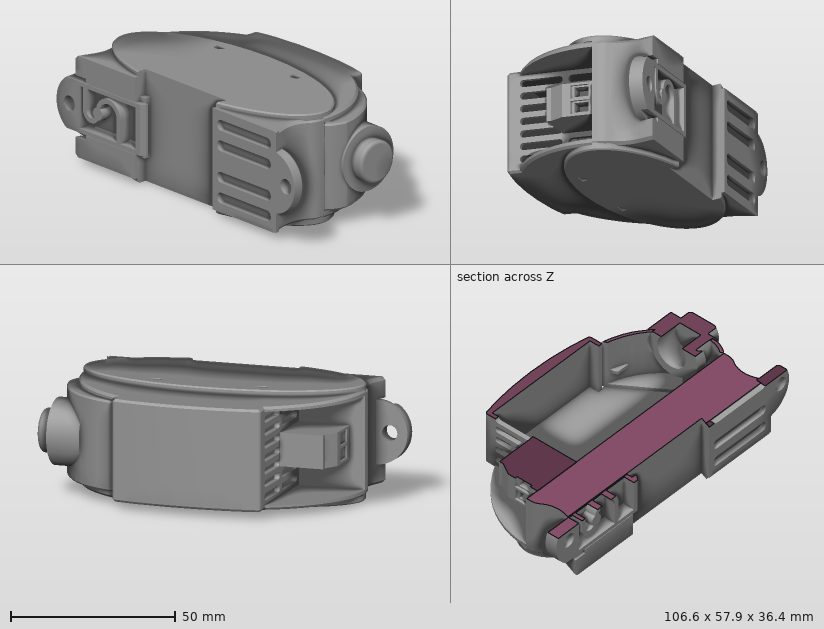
import cadquery as cq
mid_x = 0.2
split_y = 19.6
lip_half_z = 18.2
base_half_z = 16.5
inner_half_z = 14.6
half_length = 45.3
far = 213.5

lip_a = 45.0
lip_b = 20.0
lip_chamfer = 0.4
edge_chamfer = 1.0
foot_half = 44.9
flank_bottom = 5.5
flank_bottom_half = 43.0
flank_top = 14.7
flank_top_half = 44.3
shoulder_top = 17.8
rail_left = -18.3
rail_right = 18.3
rail_right_foot = 16.7
rail_depth = 4.5
snap_offset = 17.0
snap_y = 34.3
snap_radius = 2.1
snap_floor_radius = 0.6
snap_depth = 1.5

plate_thickness = 1.9
plate_rim = 0.2
ear_x = 43.2
ear_radius = 10.1
ear_thickness = 3.8
ear_round = 0.9
hole_radius = 2.5
foot_hole_x = 49.5
vent_rows = (5.1, 11.8)
foot_vent = (18.7, 42.8)
foot_vent_width = 3.5

clip_height = 4.4
clip_step = 2.2
clip_clearance = 0.2
flange_half_z = 9.8
flange_end = -16.1
frame_half_z = 8.3
nose_end = -14.7
nose_run = 1.3
nose_rise = 1.5
mouth_end = -40.0
tab_x = -43.3
tab_radius = 10.0
clip_hole_x = -47.6
pocket_left = -43.0
pocket_right = -17.8
pocket_half_z = 6.9
pocket_depth = 4.0
pocket_chamfer = 0.5
spring_width = 1.6
leg_x = -40.8
eye_x = -34.9
eye_radius = 2.0
arch_leg_x = -25.6
arch_z = 0.6

dome_height = 37.3
draft = 0.015
crown_half = 23.9
crown_edge_y = 55.4
crown_top_y = 57.9
crown_round = 1.1
cover_wall = 1.6
cover_chamfer = 0.7
end_wall_y = 50.2
window_top = 37.3
window_half_z = 5.2
vent_pitch = 4.0
vent_width = 2.2
upper_vent = (37.4, 51.2)
lower_vent = (21.6, 35.4)

terminal_face = -40.2
terminal_top_face = -37.7
terminal_slope_low = 31.3
terminal_slope_high = 35.8
socket_y = (22.5, 28.5)
socket_width = 4.1
socket_z = 2.5
socket_depth = 0.9
contact_y = (23.0, 27.4)
contact_width = 3.0
contact_depth = 5.3

bulge_half_z = 14.1
bulge_wall = 1.3
bulge_top = (24.5, 50.8)
bulge_upper_mid = (40.7, 41.8)
bulge_nose = (48.4, 26.5)
bulge_lower_mid = (47.5, 22.7)
bulge_foot = (45.6, split_y)
bulge_chamfer = 0.5
rib_x = (26.7, 32.0)
rib_y = (46.5, 49.7)
rib_z = 8.0
rib_thickness = 1.2
gland_y = 34.7
gland_radius = 10.5
gland_spigot_radius = 8.8
gland_bore = 5.8
gland_inner_x = 38.4
gland_floor = 47.0
gland_end = 49.0
nozzle_end = 53.3
nozzle_radius = 6.8
nozzle_round = 1.1


def box(x, y, z):
    """Box between the (low, high) pairs given for the three axes."""
    size = [high - low for low, high in (x, y, z)]
    return cq.Workplane("XY").box(*size, centered=False).translate((x[0], y[0], z[0]))


def both(half):
    return (-half, half)


def prism(outline, half_z):
    """Extrude a closed XY outline symmetrically about z = 0."""
    return outline.extrude(half_z, both=True)


def slot_y(x, z, width):
    """Round-ended slot along X at height z, running through the foot plate."""
    slot = cq.Workplane("XZ").slot2D(x[1] - x[0], width).extrude(-plate_thickness)
    return slot.translate(((x[0] + x[1]) / 2, 0, z))


def slot_x(x, y, z, width):
    """Round-ended slot along Y, running through the given X range."""
    slot = cq.Workplane("YZ").slot2D(y[1] - y[0], width).extrude(x[1] - x[0])
    return slot.translate((x[0], (y[0] + y[1]) / 2, z))


def cylinder_y(x, radius, height):
    return cq.Workplane("XZ").center(x, 0).circle(radius).extrude(-height)


def cylinder_x(x, radius):
    return cq.Workplane("YZ").center(gland_y, 0).circle(radius).extrude(x[1] - x[0]).translate((x[0], 0, 0))


def base_outline():
    """Side outline with waisted flanks, built as one half and mirrored."""
    right_half = (
        cq.Workplane("XY", origin=(mid_x, 0, 0))
        .moveTo(0, split_y)
        .lineTo(half_length, split_y)
        .lineTo(half_length, shoulder_top)
        .tangentArcPoint((flank_top_half, flank_top), relative=False)
        .tangentArcPoint((flank_bottom_half, flank_bottom), relative=False)
        .lineTo(foot_half, 0)
        .lineTo(0, 0)
    )
    return right_half.mirrorY()


def draft_envelope():
    """Tapered space of the cover between the two lips."""
    top = split_y + far
    top_half = base_half_z - draft * far
    outline = [(split_y, -base_half_z), (top, -top_half), (top, top_half), (split_y, base_half_z)]
    return cq.Workplane("YZ").polyline(outline).close().extrude(far, both=True)


def base_shape():
    body = prism(base_outline(), base_half_z)
    body = body.faces("<Z or >Z").edges("(not <Y) and (not >Y)").chamfer(edge_chamfer)
    lips = prism(cq.Workplane("XY").center(mid_x, split_y).ellipse(lip_a, lip_b), lip_half_z)
    lips = lips.faces("<Z or >Z").chamfer(lip_chamfer)
    return body.union(lips).cut(draft_envelope())


def rail_notch():
    outline = [(rail_left, 0), (rail_left, rail_depth), (rail_right, rail_depth), (rail_right_foot, 0)]
    foot = box((rail_left, rail_right_foot), (-far, 0), both(far))
    return prism(cq.Workplane("XY").polyline(outline).close(), far).union(foot)


def clip_channel():
    flange = box((-far, rail_left), (clip_step, rail_depth), both(flange_half_z + clip_clearance))
    frame = box((-far, rail_left), (0, clip_step), both(frame_half_z + clip_clearance))
    mouth = box((-far, mouth_end), (0, clip_step), both(flange_half_z + clip_clearance))
    return flange.union(frame).union(mouth)


def snap_notch(x):
    """Half cone sunk into the upper lip, flat on its +Y side."""
    cone = cq.Solid.makeCone(
        snap_radius, snap_floor_radius, snap_depth, cq.Vector(x, snap_y, lip_half_z), cq.Vector(0, 0, -1)
    )
    return cq.Workplane(cone).intersect(box((-far, far), (-far, snap_y), both(far)))


def upper_base():
    base = base_shape().cut(rail_notch()).cut(clip_channel()).cut(foot_plate_blank())
    for side in (-1, 1):
        base = base.cut(snap_notch(mid_x + side * snap_offset))
    return base.intersect(box((-far, far), (-far, far), (0, far)))


def foot_plate_blank():
    """Plate behind the rail jaw, with the mounting ear on its +X end."""
    plate = prism(base_outline(), base_half_z - plate_rim)
    plate = plate.intersect(box((0, far), (0, plate_thickness), both(far)))
    plate = plate.cut(rail_notch().translate((plate_rim, 0, 0)))
    ear = cylinder_y(ear_x, ear_radius, ear_thickness).faces(">Y").edges().fillet(ear_round)
    return plate.union(ear.intersect(box((foot_vent[1], far), (0, far), both(far))))


def foot_plate():
    plate = foot_plate_blank().cut(cylinder_y(foot_hole_x, hole_radius, ear_thickness))
    for row in vent_rows:
        for z in (-row, row):
            plate = plate.cut(slot_y(foot_vent, z, foot_vent_width))
    return plate


def clip_spring():
    """S-shaped leaf across the pocket with an eye in the middle."""
    half = spring_width / 2
    end_z = pocket_half_z + half
    u_mid = (leg_x + eye_x) / 2
    u_radius = (eye_x - leg_x) / 2
    arch_mid = (eye_x + arch_leg_x) / 2
    arch_radius = (arch_leg_x - eye_x) / 2
    leaf = (
        cq.Workplane("XZ")
        .moveTo(leg_x - half, end_z)
        .lineTo(leg_x - half, 0)
        .threePointArc((u_mid, -u_radius - half), (eye_x + half, 0))
        .lineTo(eye_x + half, arch_z)
        .threePointArc((arch_mid, arch_z + arch_radius - half), (arch_leg_x - half, arch_z))
        .lineTo(arch_leg_x - half, -end_z)
        .lineTo(arch_leg_x + half, -end_z)
        .lineTo(arch_leg_x + half, arch_z)
        .threePointArc((arch_mid, arch_z + arch_radius + half), (eye_x - half, arch_z))
        .lineTo(eye_x - half, 0)
        .threePointArc((u_mid, half - u_radius), (leg_x + half, 0))
        .lineTo(leg_x + half, end_z)
        .close()
        .extrude(-clip_height)
    )
    return leaf.union(cylinder_y(eye_x, eye_radius, clip_height))


def clip():
    flange = box((tab_x, flange_end), (0, clip_height), both(flange_half_z))
    blank = flange.union(cylinder_y(tab_x, tab_radius, clip_height))
    for side in (-1, 1):
        outer = sorted((side * frame_half_z, side * far))
        blank = blank.cut(box((-far, far), (0, clip_step), outer))
    nose_outline = [
        (tab_x, 0),
        (nose_end - nose_run, 0),
        (nose_end, nose_rise),
        (nose_end, clip_step),
        (tab_x, clip_step),
    ]
    blank = blank.union(prism(cq.Workplane("XY").polyline(nose_outline).close(), frame_half_z))
    pocket = box((mouth_end, pocket_right), (0, pocket_depth), both(pocket_half_z))
    pocket_end = box((pocket_left, mouth_end), (0, pocket_depth), both(pocket_half_z))
    blank = blank.cut(pocket.edges("|X and >Y").chamfer(pocket_chamfer)).cut(pocket_end)
    return blank.union(clip_spring()).cut(cylinder_y(clip_hole_x, hole_radius, clip_height))


def cover_blank():
    flanks = prism(cq.Workplane("XY").center(mid_x, split_y).ellipse(half_length, dome_height), base_half_z)
    crown = prism(
        cq.Workplane("XY")
        .moveTo(mid_x - crown_half, split_y)
        .lineTo(mid_x - crown_half, crown_edge_y)
        .threePointArc((mid_x, crown_top_y), (mid_x + crown_half, crown_edge_y))
        .lineTo(mid_x + crown_half, split_y)
        .close(),
        base_half_z,
    )
    for x in (mid_x - crown_half, mid_x + crown_half):
        corner = cq.selectors.BoxSelector(
            (x - crown_round, crown_edge_y - crown_round, -far),
            (x + crown_round, crown_edge_y + crown_round, far),
        )
        crown = crown.edges("|Z").edges(corner).fillet(crown_round)
    blank = flanks.union(crown).intersect(draft_envelope())
    return blank.faces("<Z or >Z").edges("not <Y").chamfer(cover_chamfer)


def cover():
    wall_x = mid_x - crown_half
    end_x = mid_x + crown_half
    hollow_top = crown_edge_y - cover_wall
    body = cover_blank()
    body = body.cut(box((-far, wall_x), (split_y, far), both(inner_half_z)))
    body = body.cut(box((wall_x + cover_wall, end_x - cover_wall), (split_y, hollow_top), both(inner_half_z)))
    body = body.cut(box((end_x - cover_wall, end_x), (split_y, end_wall_y), both(inner_half_z)))
    body = body.cut(box((end_x, far), (split_y, far), both(inner_half_z)))
    through = (wall_x, wall_x + cover_wall)
    body = body.cut(box(through, (split_y, window_top), both(window_half_z)))
    for row in range(-3, 4):
        body = body.cut(slot_x(through, upper_vent, row * vent_pitch, vent_width))
        if abs(row) > 1:
            body = body.cut(slot_x(through, lower_vent, row * vent_pitch, vent_width))
    return body


def terminal():
    inner_x = mid_x - crown_half + cover_wall
    outline = [
        (inner_x, split_y),
        (terminal_face, split_y),
        (terminal_face, terminal_slope_low),
        (terminal_top_face, terminal_slope_high),
        (terminal_top_face, window_top),
        (inner_x, window_top),
    ]
    block = prism(cq.Workplane("XY").polyline(outline).close(), window_half_z)
    for z in (-socket_z, socket_z):
        for y, width, depth in (
            (socket_y, socket_width, socket_depth),
            (contact_y, contact_width, contact_depth),
        ):
            span = (z - width / 2, z + width / 2)
            block = block.cut(box((terminal_face, terminal_face + depth), y, span))
    return block


def bulge_blank():
    outline = (
        cq.Workplane("XY")
        .moveTo(*bulge_top)
        .threePointArc(bulge_upper_mid, bulge_nose)
        .threePointArc(bulge_lower_mid, bulge_foot)
        .close()
    )
    return prism(outline, bulge_half_z).faces("<Z or >Z").edges("%CIRCLE").chamfer(bulge_chamfer)


def bulge():
    chord = cq.selectors.NearestToPointSelector(
        ((bulge_top[0] + bulge_foot[0]) / 2, (bulge_top[1] + bulge_foot[1]) / 2, 0)
    )
    shell = bulge_blank().faces(chord).shell(-bulge_wall)
    for z in (-rib_z, rib_z):
        rib = box(rib_x, rib_y, (z - rib_thickness / 2, z + rib_thickness / 2))
        shell = shell.union(rib.intersect(bulge_blank()))
    return shell.cut(cylinder_x((0, far), gland_spigot_radius))


def gland():
    collar = cylinder_x((gland_inner_x, gland_end), gland_radius).cut(bulge_blank())
    collar = collar.union(cylinder_x((gland_inner_x, gland_end), gland_spigot_radius))
    collar = collar.cut(cylinder_x((0, gland_floor), gland_bore))
    nozzle = cylinder_x((gland_end, nozzle_end), nozzle_radius).faces(">X").edges().fillet(nozzle_round)
    return collar.union(nozzle)


base_top = upper_base()
base_bottom = base_top.mirror("XY")
result = cq.Compound.makeCompound(
    [
        base_top.val(),
        base_bottom.val(),
        foot_plate().val(),
        clip().val(),
        cover().val(),
        terminal().val(),
        bulge().val(),
        gland().val(),
    ]
)